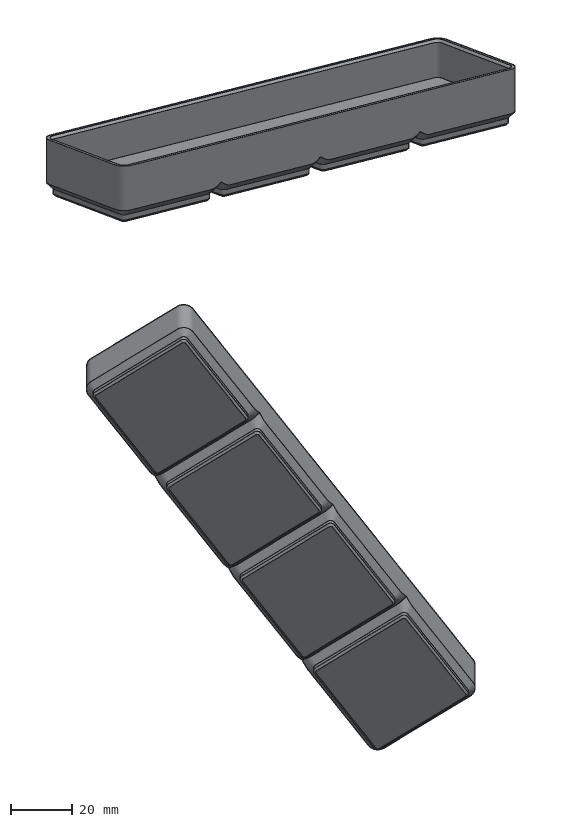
import cadquery as cq

length = 167.5
width = 41.5
height = 20.0
corner_radius = 3.7

foot_count = 4
foot_pitch = (length - width) / (foot_count - 1)

foot_inset = 2.2
foot_width = width - 2 * foot_inset
foot_radius = corner_radius - foot_inset
foot_chamfer = 0.75
stem_height = 2.5
flare_height = 4.0
feet_height = stem_height + flare_height

floor_level = 7.0
rim_width = 1.2
rim_chamfer = 0.8
wall_thickness = rim_width + rim_chamfer
cavity_radius = corner_radius - wall_thickness


def rounded_block(size_x, size_y, size_z, radius, base_z):
    """Upright block centred on the Z axis, with rounded vertical edges."""
    block = cq.Workplane("XY").box(size_x, size_y, size_z, centered=(True, True, False))
    return block.edges("|Z").fillet(radius).translate((0, 0, base_z))


def make_foot():
    """Chamfered stem with a 45 degree flare that grows past the cell outline."""
    stem = rounded_block(foot_width, foot_width, stem_height, foot_radius, 0)
    stem = stem.faces("<Z").chamfer(foot_chamfer)
    flare = (
        cq.Workplane("XY", origin=(0, 0, stem_height))
        .sketch()
        .rect(foot_width, foot_width)
        .vertices()
        .fillet(foot_radius)
        .finalize()
        .extrude(flare_height, taper=-45)
    )
    return stem.union(flare)


def make_feet():
    """Feet in a row along Y, merged where the flares meet."""
    foot = make_foot()
    first_y = -(length - width) / 2
    feet = foot.translate((0, first_y, 0))
    for index in range(1, foot_count):
        feet = feet.union(foot.translate((0, first_y + index * foot_pitch, 0)))
    return feet


def make_cavity():
    """Open tray cavity, widened at the mouth by a 45 degree rim chamfer."""
    cavity_x = width - 2 * wall_thickness
    cavity_y = length - 2 * wall_thickness
    cavity = rounded_block(cavity_x, cavity_y, height - floor_level, cavity_radius, floor_level)
    mouth = rounded_block(
        cavity_x + 2 * rim_chamfer,
        cavity_y + 2 * rim_chamfer,
        height - floor_level,
        cavity_radius + rim_chamfer,
        height - rim_chamfer,
    )
    mouth = mouth.faces("<Z").chamfer(rim_chamfer)
    return cavity.union(mouth)


envelope = rounded_block(width, length, height, corner_radius, 0)
upper_body = rounded_block(width, length, height - feet_height, corner_radius, feet_height)
body = make_feet().intersect(envelope).union(upper_body).cut(make_cavity())
result = body.solids()